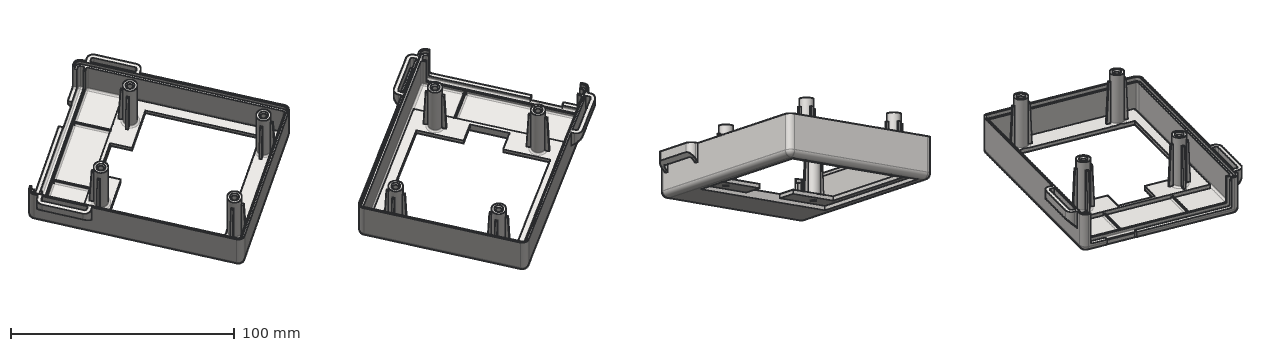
import cadquery as cq
import math

case_length = 100.0
case_width = 79.0
case_height = 19.5
outer_radius = 3.0
wall = 2.0
floor = 2.0
inner_radius = 1.0
half_width = case_width / 2
half_inside = half_width - wall

lip_wall = 0.9
lip_depth = 2.0
ledge_height = case_height - lip_depth

slot_width = 2.9
frame_thickness = 0.9
frame_radius = 0.7
sill_height = 4.0
joint_margin = 0.1
frame_start = wall + slot_width
frame_end = frame_start + frame_thickness
opening_half_width = 35.2
opening_radius = 0.8

plate_top = 4.0
plate_start = 22.9
plate_width = 72.0
recess_start = 24.7
recess_margin = 2.0
window_start = 34.9
window_end = 88.3
window_width = 62.4
notch_width = 18.4

edge_notch_start = 12.2
edge_notch_end = 27.0

rib_offset = 17.0
rib_width = 0.8
rib_height = 1.0
rib_radius = 0.7

post_columns = ((29.8, -1), (91.8, 1))
post_spacing = 48.0
post_radius = 3.3
post_top = 29.5
post_foot_radius = 0.9
pilot_diameter = 2.7
countersink_diameter = 4.1
countersink_depth = 0.7
gusset_thickness = 1.1
gusset_top = 25.4
gusset_top_reach = 4.3
gusset_foot_reach = 5.3

loop_start = 4.9
loop_length = 25.1
loop_reach = 4.5
loop_bar = 2.0
loop_outer_radius = 3.0
loop_inner_radius = 1.0
loop_outer_height = 4.3


def block(x_start, x_end, y_start, y_end, z_start, z_end):
    """Box given by its limits along each axis."""
    return cq.Workplane("XY").box(
        x_end - x_start, y_end - y_start, z_end - z_start, centered=False
    ).translate((x_start, y_start, z_start))


def flare_middle(radius):
    """Offset from both tangent faces to the midpoint of a quarter-round flare."""
    return radius * (1 - math.sqrt(0.5))


def make_shell():
    """Open tray with a rim rebate, a panel slot and a cut-away end."""
    shell = block(0, case_length, -half_width, half_width, 0, case_height)
    shell = shell.edges("|Z or <Z").fillet(outer_radius)
    cavity = block(wall, case_length - wall, -half_inside, half_inside, floor, case_height)
    shell = shell.cut(cavity.edges("|Z or <Z").fillet(inner_radius))

    frame = block(
        frame_start, frame_end,
        -half_inside - wall / 2, half_inside + wall / 2,
        floor / 2, case_height,
    )
    shell = shell.union(frame)
    frame_joint = cq.selectors.BoxSelector(
        (frame_start - joint_margin, -case_width, floor - joint_margin),
        (frame_end + joint_margin, case_width, ledge_height),
        boundingbox=False,
    )
    shell = shell.edges(frame_joint).edges("not |X").fillet(frame_radius)

    half_rebate = half_width - lip_wall
    rebate = block(
        lip_wall, case_length - lip_wall, -half_rebate, half_rebate, ledge_height, case_height
    )
    shell = shell.cut(rebate.edges("|Z").fillet(outer_radius - lip_wall))

    opening = block(
        0, frame_end, -opening_half_width, opening_half_width, sill_height, case_height
    )
    shell = shell.cut(opening.edges("|X and <Z").fillet(opening_radius))
    return shell.cut(block(0, wall, edge_notch_start, edge_notch_end, 0, sill_height))


def make_floor_rib(y_centre):
    """Low rib along X whose sides flare into the floor."""
    half_top = rib_width / 2
    half_foot = half_top + rib_radius
    flare_top = floor + rib_radius
    rib_top = floor + rib_height
    bend = flare_middle(rib_radius)
    profile = (
        cq.Workplane("YZ")
        .moveTo(-half_foot, floor)
        .threePointArc((-half_top - bend, floor + bend), (-half_top, flare_top))
        .lineTo(-half_top, rib_top)
        .lineTo(half_top, rib_top)
        .lineTo(half_top, flare_top)
        .threePointArc((half_top + bend, floor + bend), (half_foot, floor))
        .lineTo(half_foot, floor / 2)
        .lineTo(-half_foot, floor / 2)
        .close()
    )
    return profile.extrude(plate_start - frame_end).translate((frame_end, y_centre, 0))


def add_plate(body):
    """Raise the plate, hollow its underside and open the notched window."""
    inside_end = case_length - wall
    half_plate = plate_width / 2
    body = body.union(block(plate_start, inside_end, -half_plate, half_plate, floor, plate_top))

    half_recess = half_plate - recess_margin
    body = body.cut(
        block(recess_start, inside_end - recess_margin, -half_recess, half_recess, 0, floor)
    )
    half_window = window_width / 2
    half_notch = notch_width / 2
    body = body.cut(block(window_start, window_end, -half_window, half_window, 0, plate_top))
    return body.cut(block(recess_start, window_start, -half_notch, half_notch, 0, plate_top))


def make_gusset(angle):
    """Tapered fin standing on the plate and pointing outward at the given angle."""
    fin = (
        cq.Workplane("XZ")
        .polyline([
            (0, plate_top),
            (gusset_foot_reach, plate_top),
            (gusset_top_reach, gusset_top),
            (0, gusset_top),
        ])
        .close()
        .extrude(gusset_thickness / 2, both=True)
    )
    return fin.rotate((0, 0, 0), (0, 0, 1), angle)


def make_post(gusset_side):
    """Post at the origin with a flared foot and three gussets."""
    bend = flare_middle(post_foot_radius)
    post = (
        cq.Workplane("XZ")
        .moveTo(0, plate_top)
        .lineTo(post_radius + post_foot_radius, plate_top)
        .threePointArc(
            (post_radius + bend, plate_top + bend), (post_radius, plate_top + post_foot_radius)
        )
        .lineTo(post_radius, post_top)
        .lineTo(0, post_top)
        .close()
        .revolve(360, (0, 0, 0), (0, 1, 0))
    )
    for angle in (90, 270, 0 if gusset_side > 0 else 180):
        post = post.union(make_gusset(angle))
    return post


def make_screw_hole():
    """Through hole along Z with a conical mouth at the post top."""
    pilot_radius = pilot_diameter / 2
    return (
        cq.Workplane("XZ")
        .polyline([
            (0, 0),
            (pilot_radius, 0),
            (pilot_radius, post_top - countersink_depth),
            (countersink_diameter / 2, post_top),
            (0, post_top),
        ])
        .close()
        .revolve(360, (0, 0, 0), (0, 1, 0))
    )


def add_posts(body):
    """Stand the four drilled posts on the plate."""
    for x, gusset_side in post_columns:
        for y in (-post_spacing / 2, post_spacing / 2):
            post = make_post(gusset_side).translate((x, y, 0))
            overhang = block(window_start, window_end, -half_width, half_width, 0, post_top)
            body = body.union(post.cut(overhang))
            body = body.cut(make_screw_hole().translate((x, y, 0)))
    return body


def make_loop():
    """Strap loop on the +Y side, sloping back to the wall underneath."""
    loop_end = loop_start + loop_length
    outer_y = half_width + loop_reach
    slope_top = case_height - loop_outer_height
    slope_foot = slope_top - loop_reach

    ring = block(loop_start, loop_end, half_width, outer_y, slope_foot, case_height)
    ring = ring.edges("|Z and >Y").fillet(loop_outer_radius)
    gap = block(
        loop_start + loop_bar, loop_end - loop_bar,
        half_width, outer_y - loop_bar,
        slope_foot, case_height,
    )
    ring = ring.cut(gap.edges("|Z and >Y").fillet(loop_inner_radius))
    underside = (
        cq.Workplane("YZ")
        .polyline([(half_width, slope_foot), (outer_y, slope_foot), (outer_y, slope_top)])
        .close()
        .extrude(case_length)
    )
    return ring.cut(underside)


result = make_shell()
for rib_y in (-rib_offset, rib_offset):
    result = result.union(make_floor_rib(rib_y))
result = add_posts(add_plate(result))
strap_loop = make_loop()
result = result.union(strap_loop).union(strap_loop.mirror("XZ"))